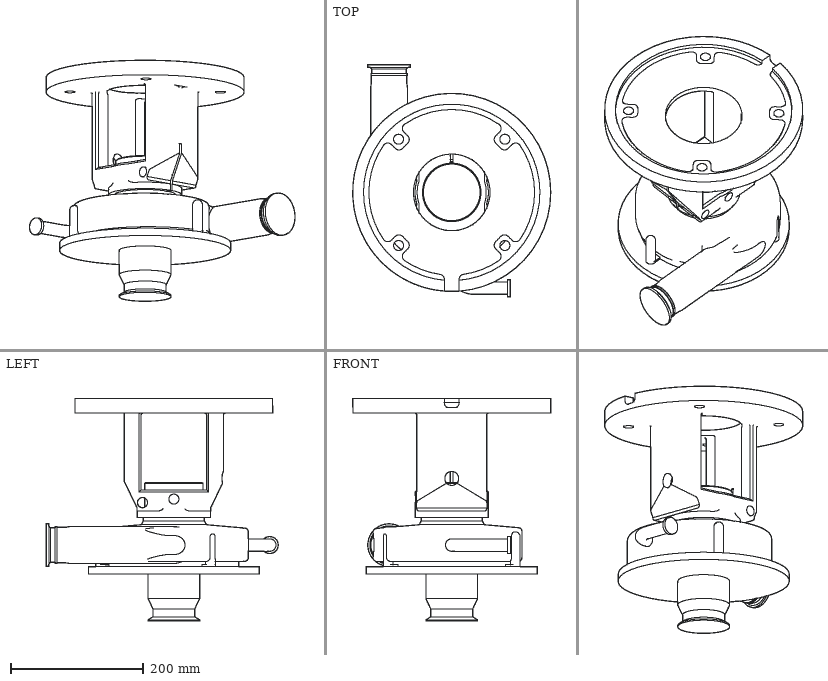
import cadquery as cq
import math


plate_radius = 150.0
plate_top = 337.5
plate_bottom = 315.0
register_radius = 133.5
ledge_z = 331.0
pocket_floor_z = 323.3
pocket_radius = 125.5
pocket_corner = 7.7
pocket_floor_fillet = 6.7
drain_notch_width = 22.0
bolt_offset = 80.5
bolt_diameter = 15.0
boss_half_width = 13.5
boss_reach = 14.0

bore_radius = 58.0
column_half_width = 53.0
column_side_y = 60.8
column_tip_y = 75.2
tip_half_width = 3.0
column_edge_fillet = 2.0
column_root_fillet = 2.8
prism_bottom = 166.5
prism_bottom_fillet = 4.2
window_half_width = 49.5
window_floor = 199.0
window_bevel = 3.0
slope_top_z = 211.5
slope_bottom_y = 56.0
slope_bottom_z = 171.5
collar_radius = 55.5
collar_bottom = 156.7
pry_hole_diameter = 21.0
pry_hole_z = 216.0
clamp_hole_diameter = 15.0
clamp_hole_y = 47.5
clamp_hole_z = 179.5
locating_hole_z = 185.0
locating_hole_depth = 8.8
slit_width = 4.0
slit_top = 226.3

shaft_radius = 44.3
shaft_top = 209.8
shaft_chamfer = 1.5
neck_radius = 46.5
neck_cone_z = 151.8
neck_foot_radius = 49.5

casing_bottom = 90.3
casing_apex_z = 146.2
casing_rim_radius = 106.5
casing_rim_z = 141.3
spiral_radius_at_x = 106.5
spiral_growth_per_turn = 25.3
spiral_start = 135
spiral_end = -210
spiral_step = 15
casing_top_fillet = 6.0
casing_bottom_fillet = 6.0
spigot_radius = 98.5

flange_radius = 129.5
flange_top = 82.5
flange_bottom = 71.5
inlet_radius = 39.5
inlet_cone_top = 34.0
inlet_cone_bottom = 18.5
inlet_throat_radius = 32.0
ferrule_top = 6.7
ferrule_rim = 2.0

outlet_x = -95.0
port_z = 115.3
outlet_radius = 28.0
outlet_end = 193.3
outlet_taper_start_y = 158.0
outlet_taper_end_y = 165.5
outlet_spigot_radius = 27.0
outlet_bead_radius = 27.8
outlet_bead_start_y = 176.8
outlet_bead_end_y = 180.0
outlet_throat_radius = 26.5
outlet_flange_cone_y = 187.0
outlet_flange_cone_radius = 29.0
outlet_flange_radius = 32.5
outlet_flange_thickness = 4.0

drain_radius = 9.5
drain_y = -145.0
drain_bend = 34.5
drain_start_y = -95.0
drain_end_x = 89.0
drain_flange_radius = 13.0
drain_flange_thickness = 4.5

stud_circle = 111.0
stud_radius = 7.5
stud_top = 135.3
stud_foot_top = 85.7
stud_foot_length = 21.0
stud_angles = (-150, -30, 90)


def disc(radius, bottom, top):
    """Upright cylinder on the shaft axis."""
    return cq.Workplane("XY").workplane(offset=bottom).circle(radius).extrude(top - bottom)


def block(x_size, y_size, bottom, top):
    """Upright box centred on the shaft axis."""
    return cq.Workplane("XY").workplane(offset=bottom).rect(x_size, y_size).extrude(top - bottom)


def make_motor_plate():
    plate = disc(plate_radius, plate_bottom, plate_top)
    plate = plate.cut(disc(register_radius, ledge_z, plate_top))

    pocket = disc(pocket_radius, pocket_floor_z, plate_top)
    boss_inner = math.hypot(bolt_offset, bolt_offset) - boss_reach
    boss_length = plate_radius - boss_inner
    for angle in (45, 135, 225, 315):
        boss = block(boss_length, 2 * boss_half_width, pocket_floor_z, plate_top)
        boss = boss.translate((boss_inner + boss_length / 2, 0, 0))
        pocket = pocket.cut(boss.rotate((0, 0, 0), (0, 0, 1), angle))
    notch_length = 2 * plate_radius
    notch = block(drain_notch_width, notch_length, pocket_floor_z, plate_top)
    pocket = pocket.union(notch.translate((0, -notch_length / 2 - bore_radius, 0)))
    inside = cq.selectors.BoxSelector((-140.5, -140.5, pocket_floor_z - 3.5), (140.5, 140.5, plate_top + 3.5))
    pocket = pocket.edges("|Z").edges(inside).fillet(pocket_corner)
    pocket = pocket.faces("<Z").edges().fillet(pocket_floor_fillet)
    plate = plate.cut(pocket)

    bolts = (
        cq.Workplane("XY").workplane(offset=plate_bottom)
        .rect(2 * bolt_offset, 2 * bolt_offset, forConstruction=True).vertices()
        .circle(bolt_diameter / 2).extrude(plate_top - plate_bottom)
    )
    bore = disc(bore_radius, plate_bottom, plate_top)
    return plate.cut(bolts).cut(bore)


def make_column_prism():
    """Ridge-sided prism from which both columns are cut."""
    half_outline = [
        (column_half_width, column_side_y),
        (tip_half_width, column_tip_y),
        (-tip_half_width, column_tip_y),
        (-column_half_width, column_side_y),
    ]
    outline = half_outline + [(-x, -y) for x, y in half_outline]
    prism = cq.Workplane("XY").workplane(offset=prism_bottom).polyline(outline).close()
    prism = prism.extrude(plate_bottom - prism_bottom)
    prism = prism.edges("|Z").edges(">X or <X").fillet(column_edge_fillet)
    rounded = block(2 * column_half_width, 4 * column_tip_y, prism_bottom, plate_bottom)
    rounded = rounded.faces("<Z").edges("|Y").fillet(prism_bottom_fillet)
    prism = prism.intersect(rounded)

    side_profile = [
        (slope_bottom_y, prism_bottom),
        (slope_bottom_y, slope_bottom_z),
        (column_tip_y, slope_top_z),
        (column_tip_y, plate_bottom),
        (-column_tip_y, plate_bottom),
        (-column_tip_y, slope_top_z),
        (-slope_bottom_y, slope_bottom_z),
        (-slope_bottom_y, prism_bottom),
    ]
    side = cq.Workplane("YZ").polyline(side_profile).close().extrude(column_half_width, both=True)
    return prism.intersect(side)


def make_lantern():
    columns = make_column_prism()
    window = block(4 * column_half_width, 2 * window_half_width, window_floor, plate_bottom)
    columns = columns.cut(window)
    jambs = cq.selectors.BoxSelector(
        (-70.3, -window_half_width - 0.5, window_floor - 0.5),
        (70.3, window_half_width + 0.5, plate_bottom - 0.5))
    columns = columns.faces(">X or <X").edges(jambs).chamfer(window_bevel)

    collar = disc(collar_radius, collar_bottom, window_floor).faces(">Z").edges().chamfer(window_bevel)
    lantern = columns.union(collar)
    lantern = lantern.cut(disc(bore_radius, window_floor, plate_bottom))

    pry_hole = cq.Workplane("XZ").center(0, pry_hole_z).circle(pry_hole_diameter / 2).extrude(plate_radius)
    clamp_hole = (
        cq.Workplane("YZ").center(clamp_hole_y, clamp_hole_z)
        .circle(clamp_hole_diameter / 2).extrude(plate_radius, both=True)
    )
    locating_hole = (
        cq.Workplane("YZ").workplane(offset=-collar_radius).center(0, locating_hole_z)
        .circle(clamp_hole_diameter / 2).extrude(locating_hole_depth)
    )
    slit = block(slit_width, plate_radius, collar_bottom, slit_top).translate((0, plate_radius / 2, 0))
    return lantern.cut(pry_hole).cut(clamp_hole).cut(locating_hole).cut(slit)


def make_lantern_with_plate():
    """Lantern and motor plate, with small fillets where the column sides meet the plate."""
    assembly = make_lantern().union(make_motor_plate())
    root_z = plate_bottom
    ridge_roots = cq.selectors.BoxSelector(
        (-column_half_width, -column_tip_y, root_z - 0.5),
        (column_half_width, column_tip_y, root_z + 0.5))
    return assembly.edges(ridge_roots).edges("%LINE").fillet(column_root_fillet)


def make_shaft_and_neck():
    profile = [
        (0, casing_bottom),
        (neck_foot_radius, casing_bottom),
        (neck_foot_radius, casing_apex_z),
        (neck_radius, neck_cone_z),
        (neck_radius, collar_bottom),
        (shaft_radius, collar_bottom),
        (shaft_radius, shaft_top - shaft_chamfer),
        (shaft_radius - shaft_chamfer, shaft_top),
        (0, shaft_top),
    ]
    return cq.Workplane("XZ").polyline(profile).close().revolve(360, (0, 0), (0, 1))


def spiral_point(angle):
    """Point of the volute wall, whose radius grows steadily in the clockwise sense."""
    radius = spiral_radius_at_x - spiral_growth_per_turn * angle / 360
    turn = math.radians(angle)
    return radius * math.cos(turn), radius * math.sin(turn)


def make_casing():
    wall = [spiral_point(a) for a in range(spiral_start, spiral_end - 1, -spiral_step)]
    casing = (
        cq.Workplane("XY").workplane(offset=casing_bottom)
        .moveTo(*wall[0]).spline(wall[1:], includeCurrent=True)
        .close().extrude(casing_apex_z - casing_bottom)
    )
    fall = (casing_apex_z - casing_rim_z) / (casing_rim_radius - neck_foot_radius)
    cone_radius = plate_radius
    cone_edge_z = casing_apex_z - fall * (cone_radius - neck_foot_radius)
    cone_profile = [
        (0, casing_bottom),
        (cone_radius, casing_bottom),
        (cone_radius, cone_edge_z),
        (neck_foot_radius, casing_apex_z),
        (0, casing_apex_z),
    ]
    cone = cq.Workplane("XZ").polyline(cone_profile).close().revolve(360, (0, 0), (0, 1))
    casing = casing.intersect(cone)
    rim = cq.selectors.BoxSelector(
        (-cone_radius, -cone_radius, cone_edge_z),
        (cone_radius, cone_radius, casing_apex_z - 1.0))
    casing = casing.faces("%CONE").edges(rim).fillet(casing_top_fillet)
    casing = casing.faces("<Z").edges().fillet(casing_bottom_fillet)
    return casing.union(disc(spigot_radius, flange_top, casing_bottom + casing_top_fillet))


def make_flange_and_inlet():
    profile = [
        (0, 0),
        (inlet_radius, 0),
        (inlet_radius, ferrule_rim),
        (inlet_throat_radius, ferrule_top),
        (inlet_throat_radius, inlet_cone_bottom),
        (inlet_radius, inlet_cone_top),
        (inlet_radius, flange_bottom),
        (flange_radius, flange_bottom),
        (flange_radius, flange_top),
        (0, flange_top),
    ]
    return cq.Workplane("XZ").polyline(profile).close().revolve(360, (0, 0), (0, 1))


def make_outlet():
    """Stepped pipe with a ball end, revolved about its own axis."""
    diagonal = outlet_radius * math.sqrt(0.5)
    flange_back_y = outlet_end - outlet_flange_thickness
    profile = (
        cq.Workplane("XY")
        .moveTo(0, -outlet_radius)
        .threePointArc((diagonal, -diagonal), (outlet_radius, 0))
        .lineTo(outlet_radius, outlet_taper_start_y)
        .lineTo(outlet_spigot_radius, outlet_taper_end_y)
        .lineTo(outlet_spigot_radius, outlet_bead_start_y)
        .lineTo(outlet_bead_radius, outlet_bead_start_y)
        .lineTo(outlet_bead_radius, outlet_bead_end_y)
        .lineTo(outlet_throat_radius, outlet_bead_end_y)
        .lineTo(outlet_throat_radius, outlet_flange_cone_y)
        .lineTo(outlet_flange_cone_radius, flange_back_y)
        .lineTo(outlet_flange_radius, flange_back_y)
        .lineTo(outlet_flange_radius, outlet_end)
        .lineTo(0, outlet_end)
        .close()
    )
    return profile.revolve(360, (0, 0), (0, 1)).translate((outlet_x, 0, port_z))


def make_drain():
    bend_start_y = drain_y + drain_bend
    diagonal = drain_bend * math.sqrt(0.5)
    path = (
        cq.Workplane("XY").workplane(offset=port_z)
        .moveTo(0, drain_start_y)
        .lineTo(0, bend_start_y)
        .threePointArc((drain_bend - diagonal, bend_start_y - diagonal), (drain_bend, drain_y))
        .lineTo(drain_end_x, drain_y)
    )
    pipe = (
        cq.Workplane("XZ", origin=(0, drain_start_y, port_z))
        .circle(drain_radius).sweep(path)
    )
    flange = (
        cq.Workplane("YZ", origin=(drain_end_x - drain_flange_thickness, drain_y, port_z))
        .circle(drain_flange_radius).extrude(drain_flange_thickness)
    )
    return pipe.union(flange)


def make_stud(angle):
    """Round-topped stud on a foot that reaches in towards the spigot."""
    shoulder = stud_top - stud_radius
    diagonal = stud_radius * math.sqrt(0.5)
    stud = (
        cq.Workplane("XZ")
        .moveTo(0, flange_top)
        .lineTo(stud_radius, flange_top)
        .lineTo(stud_radius, shoulder)
        .threePointArc((diagonal, shoulder + diagonal), (0, stud_top))
        .close().revolve(360, (0, 0), (0, 1))
    )
    foot = disc(stud_radius, flange_top, stud_foot_top)
    tab = block(stud_foot_length, 2 * stud_radius, flange_top, stud_foot_top)
    foot = foot.union(tab.translate((-stud_foot_length / 2, 0, 0)))
    return stud.union(foot).translate((stud_circle, 0, 0)).rotate((0, 0, 0), (0, 0, 1), angle)


result = make_casing().union(make_outlet())
result = result.union(make_flange_and_inlet())
result = result.union(make_shaft_and_neck())
result = result.union(make_drain())
for stud_angle in stud_angles:
    result = result.union(make_stud(stud_angle))
result = result.union(make_lantern_with_plate())